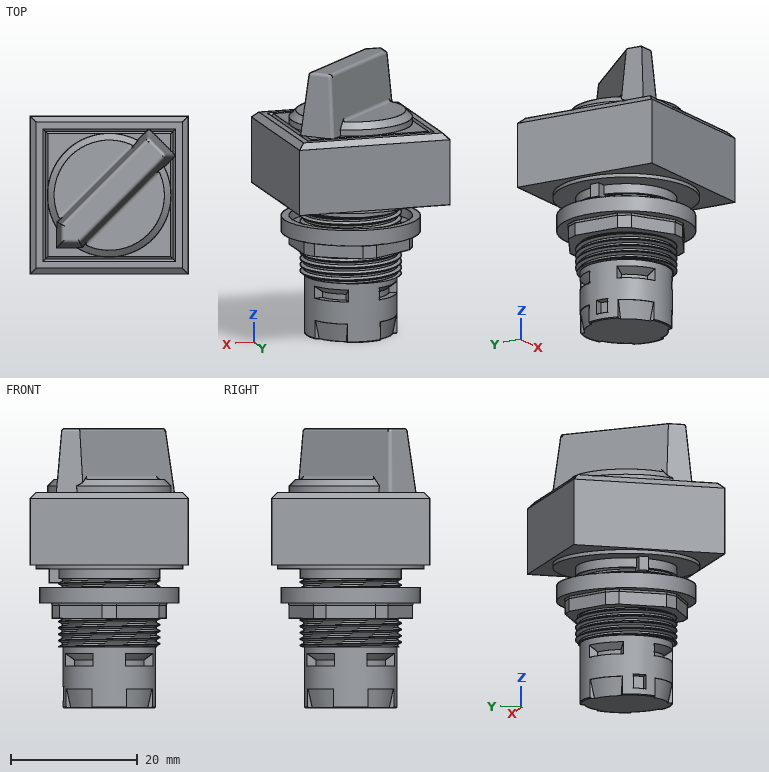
import cadquery as cq
import math

TOTAL_HEIGHT = 44.05
PLUG_TOP = 9.6
HEX_BOTTOM = 14.1
HEX_TOP = 16.5
WASHER_TOP = 19.0
NECK_BOTTOM = 20.4
FLANGE_BOTTOM = 21.9
BLOCK_BOTTOM = 22.5
BLOCK_TOP = 34.0

BLOCK_SIDE = 24.95
BLOCK_CHAMFER = 0.95
GROOVE_OUTER_SIDE = 20.9
GROOVE_INNER_SIDE = 19.4
GROOVE_DEPTH = 0.7

FLANGE_DIAMETER = 23.2
NECK_DIAMETER = 16.0
WASHER_DIAMETER = 22.0
RECESS_DIAMETER = 19.5
RECESS_DEPTH = 1.5
HEX_ACROSS_FLATS = 18.0
HEX_ACROSS_CORNERS = 19.5
HEX_FLARE_HEIGHT = 0.35
HEX_FLARE_REACH = 0.12
PLUG_DIAMETER = 14.65
PLUG_CHAMFER = 0.15

KEY_REACH = 9.5
KEY_WIDTH = 1.55
KEY_BOTTOM = 19.7

THREAD_PITCH = 1.0
THREAD_ROOT_DIAMETER = 14.9
THREAD_BASE_WIDTH = 0.8
THREAD_CREST_WIDTH = 0.1
CORE_OVERLAP = 0.1

WINDOW_BOTTOM = 6.6
WINDOW_TOP = 8.55
WINDOW_FLOOR_RADIUS = 6.05
WINDOW_INNER_HEIGHT = 0.95
WINDOW_OFFSET = 2.55
NOTCH_HEIGHT = 3.0
NOTCH_OFFSET = 2.7
NOTCH_BOTTOM_RADIUS = 6.65
NOTCH_TOP_RADIUS = 7.25

POCKET_WIDTH = 2.1
POCKET_BOTTOM = 1.1
POCKET_HEIGHT = 2.25
POCKET_DEPTH = 1.5

DISC_DIAMETER = 19.5
DISC_HEIGHT = 2.05
DISC_CHAMFER = 1.05
HANDLE_ANGLE = 45.0
HANDLE_BASE_HALF_WIDTH = 3.0
HANDLE_TOP_HALF_WIDTH = 2.0
HANDLE_BASE_END = 11.85
HANDLE_TOP_END = 10.8
HANDLE_BASE_TIP = 11.8
HANDLE_TOP_TIP = 10.6
HANDLE_FILLET = 0.5

SELECT_MARGIN = 1.0
SELECT_TOLERANCE = 0.01


def cylinder(diameter, bottom, top):
    return cq.Workplane("XY").workplane(offset=bottom).circle(diameter / 2).extrude(top - bottom)


def square_frustum(bottom_side, top_side, bottom, top):
    lower = cq.Workplane("XY").workplane(offset=bottom).rect(bottom_side, bottom_side)
    return lower.workplane(offset=top - bottom).rect(top_side, top_side).loft(ruled=True)


def make_block():
    height = BLOCK_TOP - BLOCK_BOTTOM
    block = cq.Workplane("XY").workplane(offset=BLOCK_BOTTOM).rect(BLOCK_SIDE, BLOCK_SIDE).extrude(height)
    block = block.faces(">Z").edges().chamfer(BLOCK_CHAMFER)
    valley_side = (GROOVE_OUTER_SIDE + GROOVE_INNER_SIDE) / 2
    valley = BLOCK_TOP - GROOVE_DEPTH
    opening = square_frustum(valley_side, GROOVE_OUTER_SIDE, valley, BLOCK_TOP)
    plate = square_frustum(valley_side, GROOVE_INNER_SIDE, valley, BLOCK_TOP)
    return block.cut(opening).union(plate)


def handle_outline(half_width, end, tip):
    """Flat end at +X and a right-angled point at -X."""
    shoulder = tip - half_width
    return [
        (end, -half_width),
        (end, half_width),
        (-shoulder, half_width),
        (-tip, 0),
        (-shoulder, -half_width),
    ]


def make_handle():
    base = handle_outline(HANDLE_BASE_HALF_WIDTH, HANDLE_BASE_END, HANDLE_BASE_TIP)
    top = handle_outline(HANDLE_TOP_HALF_WIDTH, HANDLE_TOP_END, HANDLE_TOP_TIP)
    handle = (
        cq.Workplane("XY")
        .workplane(offset=BLOCK_TOP)
        .polyline(base)
        .close()
        .workplane(offset=TOTAL_HEIGHT - BLOCK_TOP)
        .polyline(top)
        .close()
        .loft(ruled=True)
    )
    end_corners = cq.selectors.BoxSelector(
        (HANDLE_TOP_END - SELECT_MARGIN, -BLOCK_SIDE, BLOCK_TOP + SELECT_MARGIN),
        (HANDLE_BASE_END + SELECT_MARGIN, BLOCK_SIDE, TOTAL_HEIGHT - SELECT_MARGIN),
    )
    handle = handle.edges(end_corners).fillet(HANDLE_FILLET)
    return handle.faces(">Z").edges().fillet(HANDLE_FILLET)


def make_knob():
    disc_top = BLOCK_TOP + DISC_HEIGHT
    disc = cylinder(DISC_DIAMETER, BLOCK_TOP, disc_top).faces(">Z").chamfer(DISC_CHAMFER)
    knob = disc.union(make_handle())
    handle_feet = cq.selectors.BoxSelector(
        (-DISC_DIAMETER / 4, -HANDLE_BASE_HALF_WIDTH, disc_top - SELECT_TOLERANCE),
        (DISC_DIAMETER / 4, HANDLE_BASE_HALF_WIDTH, disc_top + SELECT_TOLERANCE),
    )
    knob = knob.edges(handle_feet).fillet(HANDLE_FILLET)
    return knob.rotate((0, 0, 0), (0, 0, 1), HANDLE_ANGLE)


def make_thread():
    root_radius = THREAD_ROOT_DIAMETER / 2
    crest_radius = NECK_DIAMETER / 2
    start = PLUG_TOP - THREAD_PITCH / 2
    length = NECK_BOTTOM + THREAD_PITCH - start
    helix = cq.Wire.makeHelix(THREAD_PITCH, length, root_radius, center=cq.Vector(0, 0, start))
    base_half = THREAD_BASE_WIDTH / 2
    crest_half = THREAD_CREST_WIDTH / 2
    profile = [
        (root_radius - CORE_OVERLAP, start - base_half),
        (crest_radius, start - crest_half),
        (crest_radius, start + crest_half),
        (root_radius - CORE_OVERLAP, start + base_half),
    ]
    ridge = cq.Workplane("XZ").polyline(profile).close().sweep(cq.Workplane(helix), isFrenet=True)
    ridge = ridge.intersect(cylinder(2 * NECK_DIAMETER, PLUG_TOP, NECK_BOTTOM))
    return cylinder(THREAD_ROOT_DIAMETER, PLUG_TOP, NECK_BOTTOM).union(ridge)


def nut_outline():
    """Corner points of a hexagon, flats on X, whose six corners are cut flat."""
    flat = HEX_ACROSS_FLATS / 2
    half_edge = HEX_ACROSS_CORNERS - flat * math.sqrt(3)
    radius = math.hypot(flat, half_edge)
    half_angle = math.degrees(math.atan2(half_edge, flat))
    points = []
    for side in range(6):
        for turn in (-half_angle, half_angle):
            angle = math.radians(60 * side + turn)
            points.append((radius * math.cos(angle), radius * math.sin(angle)))
    return points


def make_nut():
    height = HEX_TOP - HEX_BOTTOM
    nut = cq.Workplane("XY").workplane(offset=HEX_BOTTOM).polyline(nut_outline()).close().extrude(height)
    flare_taper = math.degrees(math.atan2(HEX_FLARE_REACH, HEX_FLARE_HEIGHT))
    flare = (
        cq.Workplane("XY")
        .workplane(offset=HEX_TOP - HEX_FLARE_HEIGHT)
        .polyline(nut_outline())
        .close()
        .extrude(HEX_FLARE_HEIGHT, taper=-flare_taper)
    )
    washer = cylinder(WASHER_DIAMETER, HEX_TOP, WASHER_TOP)
    recess = cylinder(RECESS_DIAMETER, WASHER_TOP - RECESS_DEPTH, WASHER_TOP)
    return nut.union(flare).union(washer.cut(recess))


def make_neck():
    flange = cylinder(FLANGE_DIAMETER, FLANGE_BOTTOM, BLOCK_BOTTOM)
    neck = cylinder(NECK_DIAMETER, NECK_BOTTOM, FLANGE_BOTTOM)
    key_inner = THREAD_ROOT_DIAMETER / 2 - CORE_OVERLAP
    key = cq.Workplane("XY").box(
        KEY_REACH - key_inner, KEY_WIDTH, FLANGE_BOTTOM - KEY_BOTTOM, centered=(False, True, False)
    )
    return flange.union(neck).union(key.translate((-KEY_REACH, 0, KEY_BOTTOM)))


def quadrant_cutters(ring, offset):
    """Keep the parts of a ring lying at |X| and |Y| beyond the offset."""
    cutters = cq.Workplane("XY")
    for x_sign in (-1, 1):
        for y_sign in (-1, 1):
            middle = offset + PLUG_DIAMETER / 2
            corner = cq.Workplane("XY").box(PLUG_DIAMETER, PLUG_DIAMETER, 2 * PLUG_TOP)
            corner = corner.translate((x_sign * middle, y_sign * middle, 0))
            cutters = cutters.add(ring.intersect(corner))
    return cutters


def revolved_ring(section):
    return cq.Workplane("XZ").polyline(section).close().revolve(360, (0, 0, 0), (0, 1, 0))


def make_plug():
    plug = cylinder(PLUG_DIAMETER, 0, PLUG_TOP).faces("<Z").chamfer(PLUG_CHAMFER)
    radius = PLUG_DIAMETER / 2
    window_ring = revolved_ring([
        (WINDOW_FLOOR_RADIUS, WINDOW_BOTTOM),
        (radius, WINDOW_BOTTOM),
        (radius, WINDOW_TOP),
        (WINDOW_FLOOR_RADIUS, WINDOW_BOTTOM + WINDOW_INNER_HEIGHT),
    ])
    notch_ring = revolved_ring([
        (NOTCH_BOTTOM_RADIUS, 0),
        (radius, 0),
        (radius, NOTCH_HEIGHT),
        (NOTCH_TOP_RADIUS, NOTCH_HEIGHT),
    ])
    for ring, offset in ((window_ring, WINDOW_OFFSET), (notch_ring, NOTCH_OFFSET)):
        for cutter in quadrant_cutters(ring, offset).vals():
            plug = plug.cut(cq.Workplane(cutter))
    pocket = cq.Workplane("XY").box(
        POCKET_DEPTH, POCKET_WIDTH, POCKET_HEIGHT, centered=(False, True, False)
    )
    return plug.cut(pocket.translate((-radius, 0, POCKET_BOTTOM)))


result = (
    make_block()
    .union(make_knob())
    .union(make_neck())
    .union(make_thread())
    .union(make_nut())
    .union(make_plug())
)